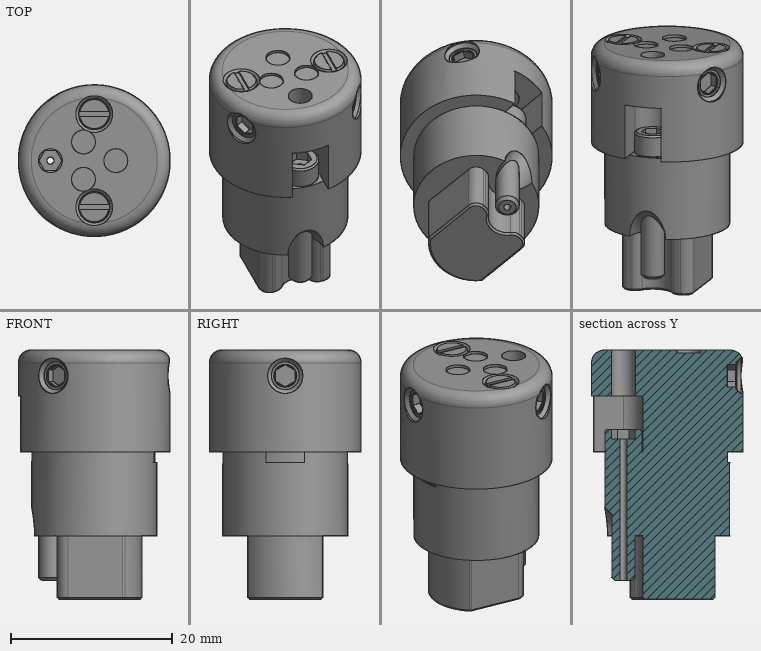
import cadquery as cq
import math

TOTAL_HEIGHT = 30.86
HEAD_HEIGHT = 12.6
BODY_HEIGHT = 10.42
HEAD_BOTTOM = TOTAL_HEIGHT - HEAD_HEIGHT
BODY_BOTTOM = HEAD_BOTTOM - BODY_HEIGHT

HEAD_DIAMETER = 18.8
HEAD_RADIUS = HEAD_DIAMETER / 2
HEAD_FILLET = 1.6
BODY_DIAMETER = 15.49
BODY_RADIUS = BODY_DIAMETER / 2

PIN_X = -5.42
SLOT_RADIUS = 2.365
SLOT_TOP = TOTAL_HEIGHT - 5.71

PIN_DIAMETER = 2.95
PIN_BOTTOM = 2.32
PIN_CHAMFER = 0.4
PIN_BORE_DIAMETER = 0.85
CAP_DIAMETER = 4.6
CAP_TOP = TOTAL_HEIGHT - 9.82
CAP_CHAMFER = 0.22
CAP_FOOT_CHAMFER = 0.13
ACCESS_HOLE_DIAMETER = 2.95
CAP_HEX_CORNERS = 2.85
CAP_HEX_DEPTH = 1.2

RELIEF_APEX_HEIGHT = 3.55
RELIEF_SLOPE = 45
RELIEF_REACH = 12

PLUG_LEFT = -4.59
PLUG_NOSE_RADIUS = 5.92
PLUG_HALF_WIDTH = 4.65
PLUG_CORNER_RADIUS = 1.34
PLUG_NOSE_FILLET = 0.4
PLUG_FOOT_CHAMFER = 0.25

SOCKET_DIAMETER = 2.95
SOCKET_DEPTH = 0.35
SOCKET_CIRCLE_RADIUS = 2.67
SOCKET_COUNT = 3

SLOTTED_Y = 5.76
SLOTTED_DIAMETER = 3.88
SLOTTED_SINK_DIAMETER = 4.54
SLOTTED_RECESS = (SLOTTED_SINK_DIAMETER - SLOTTED_DIAMETER) / 2
SLOTTED_FACE_DIAMETER = 3.6
DRIVE_WIDTH = 0.62
DRIVE_DEPTH = 0.25

SET_ANGLES = (0, 123.7, -123.7)
SET_Z = TOTAL_HEIGHT - 3.2
SET_DIAMETER = 3.45
SET_SINK_DIAMETER = 4.36
SET_RIM_RADIUS = 9.1
SET_FACE_RADIUS = 8.55
SET_HEX_CORNERS = 2.75
SET_HEX_DEPTH = 1.1
SET_ENTRY_DIAMETER = 2.85
SET_ENTRY_DEPTH = 0.1

KEYWAY_FLOOR_RADIUS = 7.49
KEYWAY_HEIGHT = 1.3


def cylinder(x, y, bottom, top, diameter):
    """Vertical cylinder between two heights."""
    return cq.Workplane("XY", origin=(x, y, bottom)).circle(diameter / 2).extrude(top - bottom)


def cone(origin, direction, start_radius, end_radius, length):
    """Truncated cone growing from its origin along a direction."""
    return cq.Workplane(cq.Solid.makeCone(
        start_radius, end_radius, length, cq.Vector(*origin), cq.Vector(*direction)))


def make_head():
    head = cylinder(0, 0, HEAD_BOTTOM, TOTAL_HEIGHT, HEAD_DIAMETER)
    head = head.faces(">Z").edges().fillet(HEAD_FILLET)
    slot_height = SLOT_TOP - HEAD_BOTTOM
    slot = cylinder(PIN_X, 0, HEAD_BOTTOM, SLOT_TOP, 2 * SLOT_RADIUS)
    slot = slot.union(
        cq.Workplane("XY", origin=(PIN_X - HEAD_RADIUS / 2, 0, HEAD_BOTTOM))
        .rect(HEAD_RADIUS, 2 * SLOT_RADIUS)
        .extrude(slot_height)
    )
    access = cylinder(PIN_X, 0, HEAD_BOTTOM, TOTAL_HEIGHT, ACCESS_HOLE_DIAMETER)
    return head.cut(slot).cut(access)


def make_relief():
    """Tilted cylinder whose upper line meets the body surface at the apex height."""
    slope = math.radians(RELIEF_SLOPE)
    axis_height = BODY_BOTTOM + RELIEF_APEX_HEIGHT - SLOT_RADIUS / math.cos(slope)
    direction = cq.Vector(-math.cos(slope), 0, math.sin(slope))
    start = cq.Vector(-BODY_RADIUS, 0, axis_height) - direction * (RELIEF_REACH / 2)
    return cq.Workplane(cq.Solid.makeCylinder(SLOT_RADIUS, RELIEF_REACH, start, direction))


def make_body():
    body = cylinder(0, 0, BODY_BOTTOM, HEAD_BOTTOM, BODY_DIAMETER)
    keyway_bottom = HEAD_BOTTOM - KEYWAY_HEIGHT
    keyway = (
        cq.Workplane("XY", origin=(BODY_RADIUS, 0, keyway_bottom))
        .rect(BODY_RADIUS, 2 * SLOT_RADIUS)
        .extrude(KEYWAY_HEIGHT)
        .cut(cylinder(0, 0, keyway_bottom, HEAD_BOTTOM, 2 * KEYWAY_FLOOR_RADIUS))
    )
    return body.cut(make_relief()).cut(keyway)


def make_plug():
    shoulder_x = math.sqrt(PLUG_NOSE_RADIUS ** 2 - PLUG_HALF_WIDTH ** 2)
    blend_x = PLUG_LEFT + PLUG_CORNER_RADIUS
    blend_y = math.sqrt((SLOT_RADIUS + PLUG_CORNER_RADIUS) ** 2 - (blend_x - PIN_X) ** 2)
    blend_share = SLOT_RADIUS / (SLOT_RADIUS + PLUG_CORNER_RADIUS)
    groove_x = PIN_X + (blend_x - PIN_X) * blend_share
    groove_y = blend_y * blend_share
    blend_angle = (math.pi + math.atan2(-blend_y, PIN_X - blend_x) % (2 * math.pi)) / 2
    blend_mid_x = blend_x + PLUG_CORNER_RADIUS * math.cos(blend_angle)
    blend_mid_y = blend_y + PLUG_CORNER_RADIUS * math.sin(blend_angle)

    plug = (
        cq.Workplane("XY")
        .moveTo(PLUG_LEFT, -PLUG_HALF_WIDTH)
        .lineTo(shoulder_x, -PLUG_HALF_WIDTH)
        .threePointArc((PLUG_NOSE_RADIUS, 0), (shoulder_x, PLUG_HALF_WIDTH))
        .lineTo(PLUG_LEFT, PLUG_HALF_WIDTH)
        .lineTo(PLUG_LEFT, blend_y)
        .threePointArc((blend_mid_x, blend_mid_y), (groove_x, groove_y))
        .threePointArc((PIN_X + SLOT_RADIUS, 0), (groove_x, -groove_y))
        .threePointArc((blend_mid_x, -blend_mid_y), (PLUG_LEFT, -blend_y))
        .close()
        .extrude(BODY_BOTTOM)
    )
    margin = 0.05
    back_corners = cq.selectors.BoxSelector(
        (PLUG_LEFT - margin, -PLUG_HALF_WIDTH - margin, 0),
        (PLUG_LEFT + margin, PLUG_HALF_WIDTH + margin, BODY_BOTTOM),
    )
    plug = plug.edges("|Z and (>Y or <Y)").edges(back_corners).fillet(PLUG_CORNER_RADIUS)
    nose_corners = cq.selectors.BoxSelector(
        (shoulder_x - margin, -PLUG_HALF_WIDTH - margin, 0),
        (shoulder_x + margin, PLUG_HALF_WIDTH + margin, BODY_BOTTOM),
    )
    plug = plug.edges("|Z").edges(nose_corners).fillet(PLUG_NOSE_FILLET)
    return plug.faces("<Z").edges().chamfer(PLUG_FOOT_CHAMFER)


def make_pin():
    pin = cylinder(PIN_X, 0, PIN_BOTTOM, HEAD_BOTTOM, PIN_DIAMETER)
    pin = pin.faces("<Z").edges().chamfer(PIN_CHAMFER)
    cap = cylinder(PIN_X, 0, HEAD_BOTTOM, CAP_TOP, CAP_DIAMETER)
    cap = cap.faces(">Z").edges().chamfer(CAP_CHAMFER)
    cap = cap.faces("<Z").edges().chamfer(CAP_FOOT_CHAMFER)
    return pin.union(cap)


def cut_pin_bore(part):
    hexagon = (
        cq.Workplane("XY", origin=(PIN_X, 0, CAP_TOP))
        .polygon(6, CAP_HEX_CORNERS)
        .extrude(-CAP_HEX_DEPTH)
    )
    return part.cut(hexagon).cut(cylinder(PIN_X, 0, 0, CAP_TOP, PIN_BORE_DIAMETER))


def cut_sockets(part):
    for index in range(SOCKET_COUNT):
        angle = 2 * math.pi * index / SOCKET_COUNT
        x = SOCKET_CIRCLE_RADIUS * math.cos(angle)
        y = SOCKET_CIRCLE_RADIUS * math.sin(angle)
        part = part.cut(cylinder(x, y, TOTAL_HEIGHT - SOCKET_DEPTH, TOTAL_HEIGHT, SOCKET_DIAMETER))
    return part


def cut_slotted_screw(part, y):
    """Countersink filled by the bevelled, slotted crown of a screw."""
    sink_z = TOTAL_HEIGHT - SLOTTED_RECESS
    sink = cone((0, y, sink_z), (0, 0, 1), SLOTTED_DIAMETER / 2, SLOTTED_SINK_DIAMETER / 2, SLOTTED_RECESS)
    crown = cone((0, y, sink_z), (0, 0, 1), SLOTTED_DIAMETER / 2, SLOTTED_FACE_DIAMETER / 2, SLOTTED_RECESS)
    drive = (
        cq.Workplane("XY", origin=(0, y, TOTAL_HEIGHT))
        .rect(SLOTTED_DIAMETER, DRIVE_WIDTH)
        .extrude(-DRIVE_DEPTH)
        .intersect(cylinder(0, y, TOTAL_HEIGHT - DRIVE_DEPTH, TOTAL_HEIGHT, SLOTTED_DIAMETER))
    )
    return part.cut(sink.cut(crown)).cut(drive)


def cut_set_screw(part, angle):
    outward = (1, 0, 0)
    sink_radius = SET_SINK_DIAMETER / 2
    hole_radius = SET_DIAMETER / 2
    sink_depth = sink_radius - hole_radius
    sink = cone((SET_RIM_RADIUS - sink_depth, 0, SET_Z), outward, hole_radius, sink_radius, sink_depth)
    mouth = (
        cq.Workplane("YZ", origin=(SET_RIM_RADIUS, 0, SET_Z))
        .circle(sink_radius)
        .extrude(HEAD_RADIUS - SET_RIM_RADIUS)
    )
    hole = (
        cq.Workplane("YZ", origin=(SET_FACE_RADIUS, 0, SET_Z))
        .circle(hole_radius)
        .extrude(SET_RIM_RADIUS - SET_FACE_RADIUS)
    )
    hexagon = (
        cq.Workplane("YZ", origin=(SET_FACE_RADIUS, 0, SET_Z))
        .transformed(rotate=(0, 0, 90))
        .polygon(6, SET_HEX_CORNERS)
        .extrude(-SET_HEX_DEPTH)
    )
    entry_radius = SET_ENTRY_DIAMETER / 2
    entry_tip_radius = entry_radius - SET_ENTRY_DEPTH
    entry = cone((SET_FACE_RADIUS, 0, SET_Z), (-1, 0, 0), entry_radius, entry_tip_radius, SET_ENTRY_DEPTH)
    tool = sink.union(mouth).union(hole).union(hexagon).union(entry)
    return part.cut(tool.rotate((0, 0, 0), (0, 0, 1), angle))


result = make_head().union(make_body()).union(make_plug()).union(make_pin())
result = cut_pin_bore(result)
result = cut_sockets(result)
for screw_y in (SLOTTED_Y, -SLOTTED_Y):
    result = cut_slotted_screw(result, screw_y)
for set_angle in SET_ANGLES:
    result = cut_set_screw(result, set_angle)